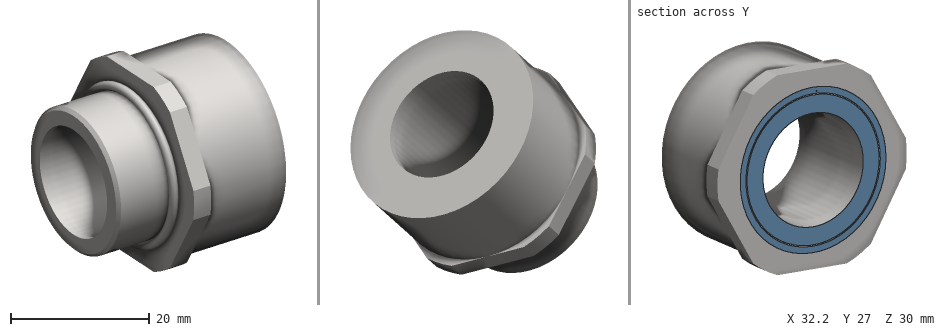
import cadquery as cq
import math

across_flats = 30.0
across_corners = 32.25
hex_thickness = 3.0
body_diameter = across_flats
body_length = 14.0
spigot_diameter = 22.58
spigot_length = 10.0
tip_chamfer = 0.52
bore_diameter = 17.0
ring_outer_diameter = 25.3
ring_section = 1.42
ring_seating = 0.03

total_length = spigot_length + hex_thickness + body_length


def cylinder(diameter, start, length):
    """Cylinder on the Y axis, from Y = start toward +Y."""
    plane = cq.Workplane("XZ", origin=(0, start, 0))
    return plane.circle(diameter / 2).extrude(-length)


def hex_flange():
    """Hexagon with flats facing +Z and -Z and its corners turned round."""
    corner_radius = across_flats / 2 / math.cos(math.pi / 6)
    corners = [
        (corner_radius * math.cos(i * math.pi / 3), corner_radius * math.sin(i * math.pi / 3))
        for i in range(6)
    ]
    hexagon = cq.Workplane("XZ").polyline(corners).close().extrude(-hex_thickness)
    return hexagon.intersect(cylinder(across_corners, 0, hex_thickness))


def spigot():
    """Plain spigot with a chamfered tip."""
    blank = cylinder(spigot_diameter, -spigot_length, spigot_length)
    return blank.faces("<Y").edges().chamfer(tip_chamfer)


def sealing_ring():
    """Round-section ring seated between the flange and the spigot."""
    section_radius = ring_section / 2
    center_radius = ring_outer_diameter / 2 - section_radius
    center_y = ring_seating - section_radius
    return (
        cq.Workplane("XY")
        .center(center_radius, center_y)
        .circle(section_radius)
        .revolve(360, (-center_radius, 0), (-center_radius, 1))
    )


body = cylinder(body_diameter, hex_thickness, body_length)
bore = cylinder(bore_diameter, -spigot_length, total_length)
result = hex_flange().union(body).union(spigot()).union(sealing_ring()).cut(bore)